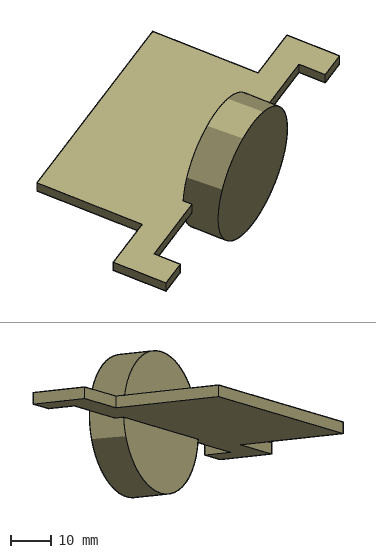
import cadquery as cq

plate_length = 45.0
plate_width = 90.0
plate_thickness = 3.0

body_length = 30.0
body_width = 60.0
hook_width = 7.5
hook_reach = 7.5

disc_diameter = 36.0
disc_thickness = 10.0

arm_front = plate_length - hook_reach


def make_plate():
    """Flat plate with two hooked arms, centred on Y and Z."""
    half_outline = [
        (0, 0),
        (0, body_width / 2),
        (body_length, body_width / 2),
        (body_length, plate_width / 2),
        (plate_length, plate_width / 2),
        (plate_length, plate_width / 2 - hook_width),
        (arm_front, plate_width / 2 - hook_width),
        (arm_front, 0),
    ]
    half = cq.Workplane("XY").polyline(half_outline).close().extrude(plate_thickness / 2, both=True)
    return half.union(half.mirror("XZ"))


def make_disc():
    """Disc with its axis along X, flush with the ends of the hooks."""
    return (
        cq.Workplane("YZ", origin=(plate_length - disc_thickness, 0, 0))
        .circle(disc_diameter / 2)
        .extrude(disc_thickness)
    )


result = make_plate().union(make_disc()).clean()